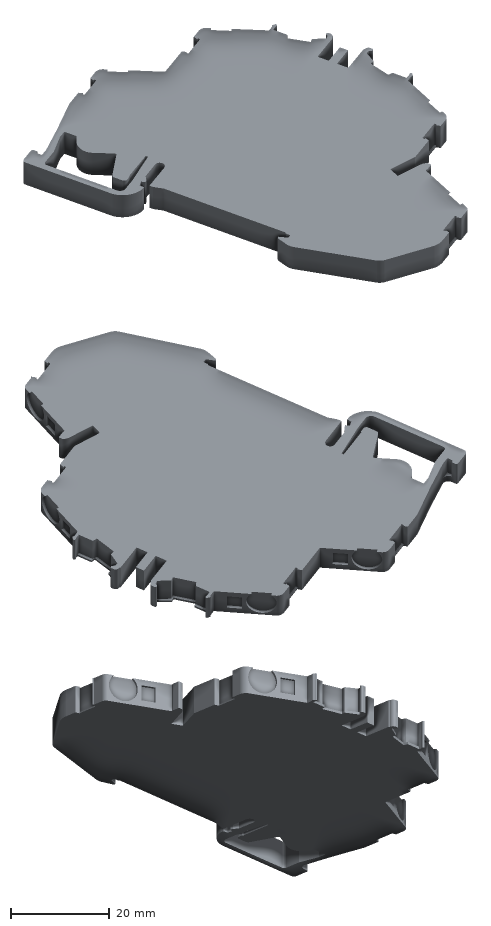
import cadquery as cq
import math

THICKNESS = 6.0
RIGHT_END = 86.8
SLOPE_ANGLE = 25.0
SLOPE = math.tan(math.radians(SLOPE_ANGLE))

TOWER_AXIS = 41.0
TOWER_LEFT = 12.4
TOWER_RIGHT = 2 * TOWER_AXIS - TOWER_LEFT
TOWER_CORNER_Y = 53.4
CROWN_LEFT = 24.9
CROWN_RIGHT = 2 * TOWER_AXIS - CROWN_LEFT
CROWN_FOOT_Y = TOWER_CORNER_Y + (CROWN_LEFT - TOWER_LEFT) * SLOPE
CROWN_BASE_Y = 56.9
CROWN_OVERLAP = 0.9

POST_WIDTH = 1.9
POST_TOP_Y = 61.6

SHOULDER_DROP = 21.2
SHOULDER_OFFSET = 1.65
LEFT_CORNER_Y = TOWER_CORNER_Y - SHOULDER_DROP
RIGHT_CORNER_Y = LEFT_CORNER_Y - SHOULDER_OFFSET
RIGHT_WALL = 86.7
CORNER_RADIUS = 1.7
RIGHT_CORNER_RADIUS = 1.0
NOTCH_TIP_HEIGHT = 0.3

RAIL_FACE_Y = 6.4
FOOT_TOP_Y = 4.2
FOOT_DIP_X = 1.3
FOOT_DIP_Y = 3.65
FOOT_BOTTOM_RADIUS = 0.8
FOOT_TOP_RADIUS = 0.4
LEG_X = 2.6
LEG_BOTTOM_Y = 5.5

NOTCH_TOP_DROP = 3.2
NOTCH_HEIGHT = 5.0
NOTCH_TAPER = 0.3
TOWER_LIP_DEPTH = 0.95
SHOULDER_LIP_DEPTH = 0.9
NOTCH_FLOOR_STEP = 0.5
NOTCH_LIP_THICKNESS = 0.3
CROWN_LIP_THICKNESS = 0.5
RECESS_DEPTH = 0.6
ENTRY_RADIUS = 3.1
ENTRY_ALONG = 4.1
ENTRY_Z = 3.65
SQUARE_ALONG = 9.55
SQUARE_LENGTH = 3.1
SQUARE_WIDTH = 3.4
SQUARE_Z = 3.0

WEB_HEIGHT = 1.65


def slope_y(corner_y, run):
    """Height of a slope at a horizontal distance from its outer corner."""
    return corner_y + run * SLOPE


def mirror_tower(body):
    """Mirror a body about the tower axis."""
    return body.mirror("YZ", (TOWER_AXIS, 0, 0))


def main_plate():
    """Stepped plate outline with rounded outer corners."""
    fin_x = 73.4
    right_notch_top = RIGHT_CORNER_Y - NOTCH_TOP_DROP
    outline = (
        cq.Workplane("XY")
        .moveTo(0, 0)
        .lineTo(20.9, 0)
        .threePointArc((24.1, 1.6), (25.5, 4.1))
        .lineTo(25.5, 4.9)
        .lineTo(24.5, 4.95)
        .lineTo(24.2, 6.1)
        .lineTo(25.1, RAIL_FACE_Y)
        .lineTo(24.9, 7.0)
        .lineTo(24.2, 8.0)
        .lineTo(24.2, 12.1)
        .threePointArc((25.3, 13.1), (26.3, 12.1))
        .lineTo(26.3, 5.8)
        .lineTo(27.2, 5.8)
        .lineTo(29.3, RAIL_FACE_Y)
        .lineTo(57.5, RAIL_FACE_Y)
        .lineTo(57.7, 6.2)
        .lineTo(58.7, 6.2)
        .lineTo(58.7, 5.3)
        .lineTo(56.8, 4.6)
        .lineTo(56.8, 4.3)
        .lineTo(57.05, 4.1)
        .lineTo(59.5, 3.3)
        .threePointArc((60.3, 3.2), (61.05, 3.3))
        .lineTo(77.9, 7.7)
        .threePointArc((78.6, 8.1), (79.2, 8.6))
        .lineTo(86.0, 17.3)
        .threePointArc((86.5, 18.4), (RIGHT_WALL, 19.6))
        .lineTo(RIGHT_WALL, right_notch_top - NOTCH_HEIGHT)
        .lineTo(RIGHT_END, right_notch_top)
        .lineTo(RIGHT_WALL, right_notch_top + NOTCH_TIP_HEIGHT)
        .lineTo(RIGHT_WALL, RIGHT_CORNER_Y)
        .lineTo(fin_x, slope_y(RIGHT_CORNER_Y, RIGHT_WALL - fin_x))
        .lineTo(73.55, 37.25)
        .lineTo(73.55, 38.6)
        .threePointArc((73.5, 38.8), (73.2, 38.9))
        .lineTo(72.7, 38.9)
        .threePointArc((72.1, 38.5), (71.6, 37.9))
        .lineTo(69.2, 32.6)
        .lineTo(66.95, 33.6)
        .lineTo(TOWER_RIGHT, 39.3)
        .lineTo(TOWER_RIGHT, TOWER_CORNER_Y)
        .lineTo(CROWN_RIGHT, CROWN_FOOT_Y)
        .lineTo(CROWN_RIGHT, CROWN_BASE_Y)
        .lineTo(CROWN_LEFT, CROWN_BASE_Y)
        .lineTo(CROWN_LEFT, CROWN_FOOT_Y)
        .lineTo(TOWER_LEFT, TOWER_CORNER_Y)
        .lineTo(TOWER_LEFT, slope_y(LEFT_CORNER_Y, TOWER_LEFT))
        .lineTo(0, LEFT_CORNER_Y)
        .lineTo(0, 20.1)
        .lineTo(1.6, 12.0)
        .lineTo(LEG_X, LEG_BOTTOM_Y)
        .lineTo(LEG_X, FOOT_DIP_Y)
        .lineTo(FOOT_DIP_X, FOOT_DIP_Y)
        .lineTo(FOOT_DIP_X, FOOT_TOP_Y)
        .lineTo(0, FOOT_TOP_Y)
        .close()
    )
    plate = outline.extrude(THICKNESS)
    for x, y, radius in (
        (0, 0, FOOT_BOTTOM_RADIUS),
        (0, FOOT_TOP_Y, FOOT_TOP_RADIUS),
        (0, LEFT_CORNER_Y, CORNER_RADIUS),
        (TOWER_LEFT, TOWER_CORNER_Y, CORNER_RADIUS),
        (TOWER_RIGHT, TOWER_CORNER_Y, CORNER_RADIUS),
        (RIGHT_WALL, RIGHT_CORNER_Y, RIGHT_CORNER_RADIUS),
    ):
        corner = cq.selectors.NearestToPointSelector((x, y, THICKNESS / 2))
        plate = plate.edges("|Z").edges(corner).fillet(radius)
    return plate


def foot_window():
    """Opening that frees the spring leg of the rail foot."""
    return (
        cq.Workplane("XY")
        .moveTo(4.8, 1.4)
        .lineTo(21.3, 1.4)
        .threePointArc((22.15, 1.8), (22.5, 2.6))
        .lineTo(22.5, 5.65)
        .lineTo(21.8, 13.5)
        .lineTo(21.3, 13.5)
        .lineTo(21.3, 6.4)
        .lineTo(21.45, 6.25)
        .lineTo(21.45, 5.2)
        .threePointArc((21.3, 4.9), (20.8, 4.6))
        .lineTo(18.7, 4.6)
        .threePointArc((18.3, 4.8), (18.1, 5.2))
        .lineTo(15.8, 11.1)
        .lineTo(15.5, 11.1)
        .lineTo(11.3, 9.1)
        .threePointArc((8.6, 9.0), (6.7, 10.85))
        .lineTo(6.1, 12.1)
        .lineTo(3.2, 12.1)
        .lineTo(3.2, 10.25)
        .lineTo(4.25, 5.65)
        .lineTo(4.25, 1.9)
        .threePointArc((4.4, 1.6), (4.8, 1.4))
        .close()
        .extrude(THICKNESS)
    )


def crown_layer(bottom_z, top_z, shelf_y, ramp_start, ramp_end, rise_start, rise_end):
    """One layer of the left crown half, with its label seats between two hooks."""
    base_y = CROWN_BASE_Y - CROWN_OVERLAP
    return (
        cq.Workplane("XY", origin=(0, 0, bottom_z))
        .moveTo(CROWN_LEFT, base_y)
        .lineTo(CROWN_LEFT, 60.6)
        .lineTo(24.7, 61.0)
        .lineTo(25.0, 61.3)
        .threePointArc((25.3, 61.6), (25.6, 61.2))
        .lineTo(25.5, 60.9)
        .lineTo(25.5, shelf_y)
        .lineTo(28.8, shelf_y)
        .lineTo(*ramp_start)
        .lineTo(*ramp_end)
        .lineTo(*rise_start)
        .lineTo(*rise_end)
        .lineTo(36.2, 63.4)
        .lineTo(35.7, 63.7)
        .threePointArc((35.6, 64.1), (35.9, 64.35))
        .lineTo(36.5, 64.35)
        .threePointArc((37.0, 64.1), (37.25, 63.5))
        .lineTo(37.4, 63.2)
        .lineTo(37.4, base_y)
        .close()
        .extrude(top_z - bottom_z)
    )


def crown():
    """Both crown halves, each a thin lip layer below the deeper label seats."""
    lip = crown_layer(
        bottom_z=0,
        top_z=CROWN_LIP_THICKNESS,
        shelf_y=60.35,
        ramp_start=(29.1, 59.4),
        ramp_end=(33.6, 60.6),
        rise_start=(33.5, 61.5),
        rise_end=(36.3, 63.05),
    )
    seats = crown_layer(
        bottom_z=CROWN_LIP_THICKNESS,
        top_z=THICKNESS,
        shelf_y=59.8,
        ramp_start=(29.3, 58.9),
        ramp_end=(34.0, 60.2),
        rise_start=(33.9, 61.1),
        rise_end=(36.3, 62.6),
    )
    half = lip.union(seats)
    return half.union(mirror_tower(half))


def post():
    """Rectangular post midway between the crown halves."""
    height = POST_TOP_Y - CROWN_BASE_Y + CROWN_OVERLAP
    return (
        cq.Workplane("XY")
        .center(TOWER_AXIS, POST_TOP_Y - height / 2)
        .rect(POST_WIDTH, height)
        .extrude(THICKNESS)
    )


def notch(lip_depth):
    """Notch tapering into a wall at x = 0, with a taller undercut floor above a thin lip."""
    top = -NOTCH_TOP_DROP
    bottom = top - NOTCH_HEIGHT
    mouth = (
        cq.Workplane("XY")
        .polyline([
            (-0.9, top),
            (0, top),
            (lip_depth, top - NOTCH_TAPER),
            (lip_depth, bottom + NOTCH_TAPER),
            (0, bottom),
            (-0.9, bottom),
        ])
        .close()
        .extrude(THICKNESS)
    )
    undercut = (
        cq.Workplane("XY", origin=(0, 0, NOTCH_LIP_THICKNESS))
        .center(lip_depth + NOTCH_FLOOR_STEP / 2, (top + bottom) / 2)
        .rect(NOTCH_FLOOR_STEP, NOTCH_HEIGHT)
        .extrude(THICKNESS - NOTCH_LIP_THICKNESS)
    )
    return mouth.union(undercut)


def port_cutter(lip_depth):
    """Notch and slope recesses of a left-hand port whose corner is the origin."""
    angle = math.radians(SLOPE_ANGLE)
    slope_plane = cq.Plane(
        origin=(0, 0, 0),
        xDir=(math.cos(angle), math.sin(angle), 0),
        normal=(-math.sin(angle), math.cos(angle), 0),
    )
    entry = (
        cq.Workplane(slope_plane)
        .center(ENTRY_ALONG, -ENTRY_Z)
        .circle(ENTRY_RADIUS)
        .extrude(-RECESS_DEPTH)
    )
    square = (
        cq.Workplane(slope_plane)
        .center(SQUARE_ALONG, -SQUARE_Z)
        .rect(SQUARE_LENGTH, SQUARE_WIDTH)
        .extrude(-RECESS_DEPTH)
    )
    return notch(lip_depth).union(entry).union(square)


def ports():
    """Cutters for the four wire ports."""
    tower_port = port_cutter(TOWER_LIP_DEPTH)
    shoulder_port = port_cutter(SHOULDER_LIP_DEPTH)
    tower_left = tower_port.translate((TOWER_LEFT, TOWER_CORNER_Y, 0))
    shoulder_left = shoulder_port.translate((0, LEFT_CORNER_Y, 0))
    shoulder_right = shoulder_port.mirror("YZ").translate((RIGHT_WALL, RIGHT_CORNER_Y, 0))
    return [tower_left, mirror_tower(tower_left), shoulder_left, shoulder_right]


def foot_web():
    """Concave web over the dip between the foot and the leg."""
    radius = LEG_X - FOOT_DIP_X
    bow = radius * (1 - math.sqrt(0.5))
    return (
        cq.Workplane("XY")
        .moveTo(LEG_X, FOOT_DIP_Y)
        .lineTo(LEG_X, FOOT_TOP_Y + radius)
        .threePointArc((LEG_X - bow, FOOT_TOP_Y + bow), (FOOT_DIP_X, FOOT_TOP_Y))
        .lineTo(FOOT_DIP_X, FOOT_DIP_Y)
        .close()
        .extrude(WEB_HEIGHT)
    )


result = main_plate().union(crown()).union(post()).union(foot_web()).cut(foot_window())
for port in ports():
    result = result.cut(port)